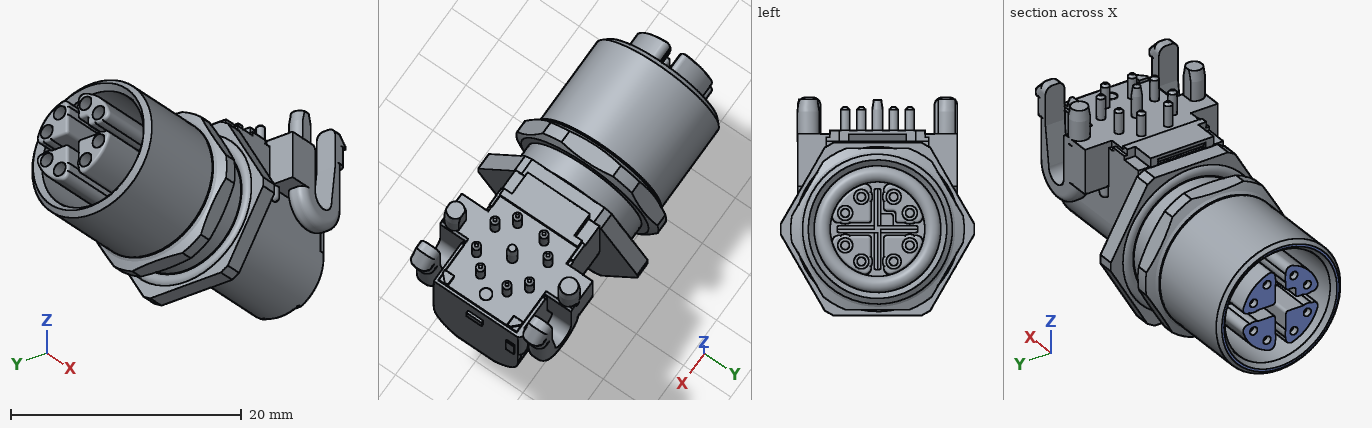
import cadquery as cq
import math


overall_height = 18.95

sleeve_front = 2.3
sleeve_end = 11.7
sleeve_radius = 13.0 / 2
sleeve_chamfer = 0.5
neck_radius = 12 / 2
mouth_radius = sleeve_radius - sleeve_chamfer
bore_radius = 11.0 / 2
bore_taper_length = 0.62
bore_floor = 11.1
end_bevel = 0.15

nut_front = 11.9
nut_end = 13.83
nut_across_flats = 14.0
nut_corner_radius = 7.5
nut_bevel_depth = 0.37
nut_face_radius = 6.75
nut_lip_length = 0.22

flange_front = 16.32
flange_end = 17.95
flange_across_flats = 15.0
flange_across_corners = 16.82
ring_centre_radius = 6.62
ring_section_radius = 0.65
ring_projection = 0.28

insert_radius = 8.2 / 2
insert_gap = 1.08
socket_boss_diameter = 1.9
insert_round = 0.28
insert_ear_round = 0.55
front_round = 0.262
insert_floor = 7.4
key_notch = 1.57
key_block = 1.35
key_block_front = 6.47
shield_front = 5.85
shield_step = 0.3
shield_thickness = 0.6
shield_tip_round = 0.2
shield_reach = 3.5
seal_radius = (bore_radius - insert_radius) / 2
seal_length = 0.77
socket_diameter = 1.3
socket_depth = 1.85
contact_diameter = 0.75
contact_depth = 3.08

contact_far = 2.8
contact_near = 1.4
contact_points = [
    (side_a * a, side_b * b)
    for a, b in ((contact_far, contact_near), (contact_near, contact_far))
    for side_a in (-1, 1)
    for side_b in (-1, 1)
]

housing_half_width = 4.45
housing_end = 30.1
ledge_top = 7.6
shell_top = 7.98
plate_top = 8.25
plate_half_width = 4.13
cap_top = 8.55
cap_front = 17.77
cap_shoulder = 20.15
cap_end = 20.82
cap_half_width = 3.3
cap_slot_half_width = 2.5
cap_slot_height = 0.62
cap_slot_depth = 0.45
relief_front = 21.93
relief_end = 26.12

cover_end = 30.37
cover_bottom = -3.97
latch_half_width = 0.8
latch_end = 30.6
latch_bottom = 5.02
latch_top = 6.05
hook_start = 29.35
hook_outer = 4.8
hook_inner = 3.45
hook_bottom = 2.68
hook_round = 0.55
rib_inner = 3.25
rib_end = 30.52
flap_front = 29.88
flap_half_width = 4.47
flap_bottom = 0.5
flap_top = 6.95
standoff_size = 1.0
standoff_chamfer = 0.68
mark_diameter = 1.1
mark_x = 28.8
mark_depth = 0.1

arm_front = 22.55
arm_end = 25.85
arm_bottom = 3.73
arm_half_span = 6.93
arm_chamfer = 0.25
pin_centre_x = 24.82
pin_diameter = 0.8
pin_top = 10.6
pin_chamfer = 0.25
centre_pin_diameter = 0.92
centre_pin_tip_diameter = 0.68
centre_pin_shoulder = 10.38
centre_pin_top = 11.2
peg_y = 6.0
peg_diameter = 1.9
peg_tip_diameter = 1.6
peg_shoulder = 10.2
peg_top = 11.25
narrow_peg_width = 1.5
foot_x = 23.13
foot_y = 4.45
foot_diameter = 1.0
foot_bottom = 2.4
foot_round = 0.43

clip_width = 2.0
clip_round = 0.75
clip_inner_radius = 1.17
clip_outer_radius = 2.85
clip_centre_x = arm_end + clip_inner_radius
clip_leg_inner = 28.7
clip_leg_bend = 7.58
clip_step = 8.13
clip_head_outer = 30.35
clip_top = overall_height - flange_across_flats / 2
clip_slope_start = 29.65
barb_tip = 30.8
barb_bottom = 9.98
barb_round = 0.8


def box(x0, x1, y0, y1, z0, z1):
    """Axis-aligned block between two opposite corners."""
    return cq.Workplane("XY").box(x1 - x0, y1 - y0, z1 - z0, centered=False).translate((x0, y0, z0))


def cylinder_x(radius, x0, x1):
    """Solid cylinder on the mating axis."""
    return cq.Workplane("YZ", origin=(x0, 0, 0)).circle(radius).extrude(x1 - x0)


def revolve_x(points):
    """Solid of revolution about the mating axis from (x, radius) points."""
    return cq.Workplane("XY").polyline(points).close().revolve(360, (0, 0, 0), (1, 0, 0))


def hexagon(across_flats, x0, x1, flats_on_z=True):
    """Hexagonal prism on the mating axis, with two flats square to Z or to Y."""
    prism = (
        cq.Workplane("YZ", origin=(x0, 0, 0))
        .polygon(6, across_flats / math.cos(math.pi / 6))
        .extrude(x1 - x0)
    )
    return prism if flats_on_z else prism.rotate((0, 0, 0), (1, 0, 0), 30)


def tapered_pin(x, y, z0, shoulder, top, diameter, tip_diameter):
    """Upright round pin with a conical tip."""
    half_profile = [
        (0, z0),
        (diameter / 2, z0),
        (diameter / 2, shoulder),
        (tip_diameter / 2, top),
        (0, top),
    ]
    pin = cq.Workplane("XZ").polyline(half_profile).close().revolve(360, (0, 0, 0), (0, 1, 0))
    return pin.translate((x, y, 0))


def make_sleeve():
    outer = revolve_x([
        (sleeve_front, 0),
        (sleeve_front, mouth_radius),
        (sleeve_front + sleeve_chamfer, sleeve_radius),
        (sleeve_end - end_bevel, sleeve_radius),
        (sleeve_end, sleeve_radius - end_bevel),
        (sleeve_end, neck_radius),
        (flange_front, neck_radius),
        (flange_front, 0),
    ])
    bore = revolve_x([
        (sleeve_front, 0),
        (sleeve_front, mouth_radius),
        (sleeve_front + bore_taper_length, bore_radius),
        (bore_floor, bore_radius),
        (bore_floor, 0),
    ])
    return outer.cut(bore)


def make_nut():
    bevels = revolve_x([
        (nut_front - nut_lip_length, 0),
        (nut_front - nut_lip_length, sleeve_radius),
        (nut_front, nut_face_radius),
        (nut_front + nut_bevel_depth, nut_corner_radius),
        (nut_end - nut_bevel_depth, nut_corner_radius),
        (nut_end, nut_face_radius),
        (nut_end, 0),
    ])
    return hexagon(nut_across_flats, nut_front - nut_lip_length, nut_end).intersect(bevels)


def make_flange():
    """Hexagonal flange with a sealing ring half sunk in its front face."""
    corner_cut = hexagon(flange_across_corners, flange_front, flange_end, flats_on_z=False)
    plate = hexagon(flange_across_flats, flange_front, flange_end).intersect(corner_cut)
    ring = (
        cq.Workplane("XY")
        .center(flange_front - ring_projection + ring_section_radius, 0)
        .moveTo(0, ring_centre_radius)
        .circle(ring_section_radius)
        .revolve(360, (0, 0, 0), (1, 0, 0))
    )
    return plate.union(ring)


def make_quadrant(side_y, side_z, keyed=False):
    """One quarter of the insert, with bosses around its two contacts."""
    gap = insert_gap / 2
    inner_zone = key_notch + insert_round
    y0, y1 = sorted((side_y * gap, side_y * insert_radius))
    z0, z1 = sorted((side_z * gap, side_z * insert_radius))
    quarter = cylinder_x(insert_radius, 0, insert_floor).intersect(box(0, insert_floor, y0, y1, z0, z1))
    if keyed:
        y0, y1 = sorted((0, side_y * key_notch))
        z0, z1 = sorted((0, side_z * key_notch))
        quarter = quarter.cut(box(0, insert_floor, y0, y1, z0, z1))
    for y, z in ((gap, insert_radius), (insert_radius, gap)):
        ear = cq.selectors.NearestToPointSelector((insert_floor / 2, side_y * y, side_z * z))
        quarter = quarter.edges("|X").edges(ear).fillet(insert_ear_round)
    inner_corners = cq.selectors.BoxSelector(
        (0, 0, 0), (insert_floor, side_y * inner_zone, side_z * inner_zone))
    quarter = quarter.edges("|X").edges(inner_corners).fillet(insert_round)
    own_points = [(y, z) for y, z in contact_points if y * side_y > 0 and z * side_z > 0]
    boss_circles = cq.Workplane("YZ").pushPoints(own_points).circle(socket_boss_diameter / 2)
    quarter = quarter.union(boss_circles.extrude(insert_floor))
    return quarter.faces("<X").edges().fillet(front_round)


def make_shield():
    """Cross-shaped screen whose four arms each carry a half-thickness step."""
    half = shield_thickness / 2
    shield = None
    for turn in range(4):
        arm = box(shield_front, insert_floor, -half, half, 0, shield_reach)
        arm = arm.edges("|X and >Z").fillet(shield_tip_round)
        step = box(shield_front, shield_front + shield_step, -half, 0, half, shield_reach)
        arm = arm.cut(step).rotate((0, 0, 0), (1, 0, 0), 90 * turn)
        shield = arm if shield is None else shield.union(arm)
    block = box(key_block_front, insert_floor, -key_block, 0, 0, key_block)
    return shield.union(block.edges("|X and <Y and >Z").fillet(insert_round))


def make_insert():
    insert = cylinder_x(insert_radius, insert_floor, bore_floor)
    for side_y in (-1, 1):
        for side_z in (-1, 1):
            insert = insert.union(make_quadrant(side_y, side_z, keyed=(side_y < 0 < side_z)))
    insert = insert.union(make_shield())
    face = cq.Workplane("YZ").pushPoints(contact_points)
    insert = insert.cut(face.circle(socket_diameter / 2).extrude(socket_depth))
    insert = insert.cut(face.circle(contact_diameter / 2).extrude(contact_depth))
    seal_front = bore_floor - seal_length
    crest = (seal_front - seal_radius, (bore_radius + insert_radius) / 2)
    seal = (
        cq.Workplane("XY")
        .moveTo(bore_floor, insert_radius)
        .lineTo(seal_front, insert_radius)
        .threePointArc(crest, (seal_front, bore_radius))
        .lineTo(bore_floor, bore_radius)
        .close()
        .revolve(360, (0, 0, 0), (1, 0, 0))
    )
    return insert.union(seal)


def u_profile(top, x0, x1):
    """Block with a half-round underside centred on the mating axis."""
    upper = box(x0, x1, -housing_half_width, housing_half_width, 0, top)
    return upper.union(cylinder_x(housing_half_width, x0, x1))


def make_housing():
    housing = u_profile(ledge_top, flange_end, housing_end)
    for x0, x1 in ((cap_shoulder, relief_front), (relief_end, housing_end)):
        housing = housing.union(box(x0, x1, -housing_half_width, housing_half_width, ledge_top, shell_top))
    plate = box(cap_end, housing_end, -plate_half_width, plate_half_width, ledge_top, plate_top)
    narrow_cap = box(cap_front, cap_end, -cap_half_width, cap_half_width, ledge_top, cap_top)
    wide_cap = box(cap_shoulder, cap_end, -plate_half_width, plate_half_width, ledge_top, cap_top)
    slot_profile = [
        (cap_front, ledge_top),
        (cap_front + cap_slot_depth, ledge_top),
        (cap_front, ledge_top + cap_slot_height),
    ]
    slot = (
        cq.Workplane("XZ")
        .polyline(slot_profile)
        .close()
        .extrude(cap_slot_half_width, both=True)
    )
    housing = housing.union(plate).union(narrow_cap).union(wide_cap).cut(slot)
    mark = cq.Workplane("XY", origin=(mark_x, 0, plate_top)).circle(mark_diameter / 2).extrude(-mark_depth)
    housing = housing.cut(mark)
    for side in (-1, 1):
        y0, y1 = sorted((side * plate_half_width, side * (plate_half_width - standoff_size)))
        standoff = box(housing_end - standoff_size, housing_end, y0, y1, ledge_top, cap_top)
        outer_corner = "|Z and >X and >Y" if side > 0 else "|Z and >X and <Y"
        housing = housing.union(standoff.edges(outer_corner).chamfer(standoff_chamfer))
    return housing


def make_cover():
    """Rear cover with its latch, corner hook, rib and side flaps."""
    cover = u_profile(shell_top, housing_end, cover_end)
    below = box(housing_end, cover_end, -housing_half_width, housing_half_width,
                -housing_half_width, cover_bottom)
    latch = box(cover_end, latch_end, -latch_half_width, latch_half_width, latch_bottom, latch_top)
    hook = box(hook_start, cover_end, hook_inner, hook_outer, hook_bottom, shell_top)
    hook = hook.edges("|Z and >X and >Y").fillet(hook_round)
    rib = box(cover_end, rib_end, rib_inner, plate_half_width, hook_bottom, latch_bottom)
    flap = box(flap_front, cover_end, -flap_half_width, flap_half_width, flap_bottom, flap_top)
    return cover.cut(below).union(latch).union(hook).union(rib).union(flap)


def make_arms():
    arms = box(arm_front, arm_end, -arm_half_span, arm_half_span, arm_bottom, plate_top)
    return arms.edges(">X and >Z").chamfer(arm_chamfer)


def make_pins():
    pins = tapered_pin(pin_centre_x, 0, ledge_top, centre_pin_shoulder, centre_pin_top,
                       centre_pin_diameter, centre_pin_tip_diameter)
    for dx, y in contact_points:
        pins = pins.union(tapered_pin(pin_centre_x + dx, y, ledge_top, pin_top - pin_chamfer, pin_top,
                                      pin_diameter, pin_diameter - 2 * pin_chamfer))
    return pins


def make_pegs():
    """Board pegs above the arms and round-ended feet below them."""
    pegs = cq.Workplane("XY")
    for side in (-1, 1):
        peg = tapered_pin(pin_centre_x, side * peg_y, ledge_top, peg_shoulder, peg_top,
                          peg_diameter, peg_tip_diameter)
        if side < 0:
            half = narrow_peg_width / 2
            peg = peg.intersect(box(arm_front, arm_end, -peg_y - half, -peg_y + half, ledge_top, peg_top))
        foot = cq.Workplane("XY", origin=(foot_x, side * foot_y, foot_bottom))
        foot = foot.circle(foot_diameter / 2).extrude(ledge_top - foot_bottom)
        foot = foot.faces("<Z").edges().fillet(foot_round)
        pegs = pegs.union(peg).union(foot)
    return pegs


def clip_prism(points):
    """Extrusion of an (x, z) outline across the width of the -Y clip."""
    plane = cq.Workplane("XZ", origin=(0, clip_width - arm_half_span, 0))
    return plane.polyline(points).close().extrude(clip_width)


def make_clip():
    """U-shaped spring clip with a barbed leg, on the -Y side."""
    y0 = -arm_half_span
    y1 = y0 + clip_width
    right = clip_centre_x + clip_outer_radius
    slope_drop = barb_tip - clip_slope_start
    section = (
        cq.Workplane("YZ", origin=(clip_centre_x, 0, arm_bottom))
        .moveTo(y0, -clip_inner_radius)
        .lineTo(y0, clip_round - clip_outer_radius)
        .radiusArc((y0 + clip_round, -clip_outer_radius), -clip_round)
        .lineTo(y1 - clip_round, -clip_outer_radius)
        .radiusArc((y1, clip_round - clip_outer_radius), -clip_round)
        .lineTo(y1, -clip_inner_radius)
        .close()
    )
    bend = section.revolve(360, (0, 0, 0), (1, 0, 0))
    bend = bend.intersect(box(0, barb_tip, y0, y1, -flange_across_flats, arm_bottom))

    leg_profile = [
        (clip_centre_x + clip_inner_radius, arm_bottom),
        (right, arm_bottom),
        (right, clip_step),
        (clip_leg_inner, clip_step),
        (clip_leg_inner, clip_leg_bend),
    ]
    head_profile = [
        (clip_leg_inner, clip_step),
        (clip_head_outer, clip_step),
        (clip_head_outer, clip_top),
        (clip_leg_inner, clip_top),
    ]
    barb_profile = [
        (clip_slope_start, clip_top),
        (barb_tip, clip_top - slope_drop),
        (clip_head_outer, barb_bottom),
        (clip_leg_inner, barb_bottom),
        (clip_leg_inner, clip_top),
    ]

    leg = clip_prism(leg_profile).edges(">X and |Z").fillet(clip_round)
    head = clip_prism(head_profile).edges(">X and |Z").fillet(clip_round)
    head = head.intersect(box(0, barb_tip, y0, y1, clip_step, barb_bottom))
    blank = box(clip_leg_inner, barb_tip, y0, y1, barb_bottom, clip_top)
    blank = blank.edges("|Z and >X").fillet(barb_round)

    crown_bottom = clip_top - 3 * slope_drop
    crown = clip_prism([
        (clip_leg_inner, crown_bottom),
        (clip_leg_inner, clip_top),
        (clip_slope_start, clip_top),
        (barb_tip + slope_drop, clip_top - 2 * slope_drop),
        (barb_tip + slope_drop, crown_bottom),
    ])
    slope_face = cq.selectors.DirectionMinMaxSelector(cq.Vector(1, 0, 1))
    crown_faces = crown.faces(">Z").add(crown.faces(slope_face))
    crown = crown_faces.edges("not |Y").fillet(clip_round)
    barb = clip_prism(barb_profile).intersect(blank).intersect(crown)
    return bend.union(leg).union(head).union(barb)


clip = make_clip()
assembly = make_sleeve()
for component in (
    make_nut(),
    make_flange(),
    make_insert(),
    make_housing(),
    make_cover(),
    make_arms(),
    make_pins(),
    make_pegs(),
    clip,
    clip.mirror("XZ"),
):
    assembly = assembly.union(component)

result = assembly